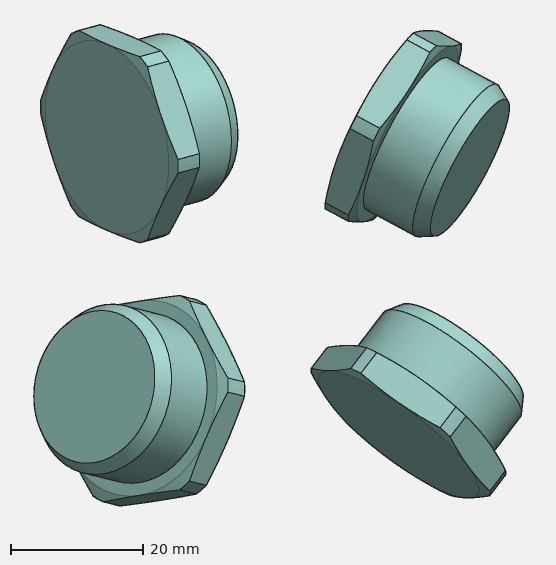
import cadquery as cq
import math

corner_diameter = 33.43
across_flats = 30.0
head_thickness = 5.0
head_chamfer_angle = 15.0

total_length = 16.0
plug_diameter = 26.08
tip_chamfer_length = 2.35
tip_chamfer_angle = 30.0

corner_radius = corner_diameter / 2
flat_radius = across_flats / 2
plug_radius = plug_diameter / 2
head_chamfer_depth = (corner_radius - flat_radius) * math.tan(math.radians(head_chamfer_angle))
tip_radius = plug_radius - tip_chamfer_length * math.tan(math.radians(tip_chamfer_angle))


def revolve_about_y(profile):
    """Turn (radius, y) points around the Y axis into a solid."""
    return cq.Workplane("XY").polyline(profile).close().revolve(360, (0, 0, 0), (0, 1, 0))


def make_head():
    """Hexagon with flats on top and bottom, its corners turned and chamfered on both faces."""
    sharp_corner_diameter = across_flats / math.cos(math.radians(30))
    hexagon = cq.Workplane("XZ").polygon(6, sharp_corner_diameter).extrude(-head_thickness)
    turned_envelope = revolve_about_y([
        (0, 0),
        (flat_radius, 0),
        (corner_radius, head_chamfer_depth),
        (corner_radius, head_thickness - head_chamfer_depth),
        (flat_radius, head_thickness),
        (0, head_thickness),
    ])
    return hexagon.intersect(turned_envelope)


def make_plug():
    """Cylinder with a tapered tip, rooted at the front face so that it overlaps the head."""
    return revolve_about_y([
        (0, 0),
        (plug_radius, 0),
        (plug_radius, total_length - tip_chamfer_length),
        (tip_radius, total_length),
        (0, total_length),
    ])


result = make_head().union(make_plug())